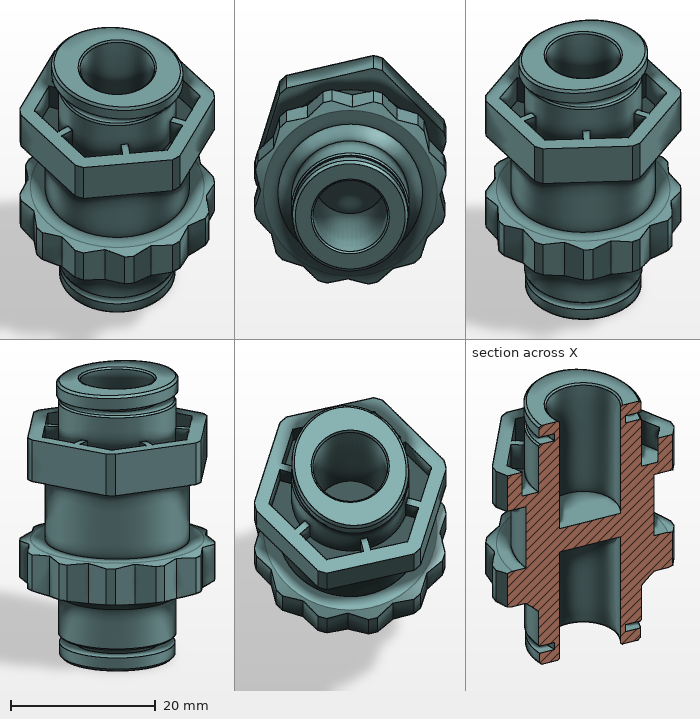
import cadquery as cq
import math


TOTAL_HEIGHT = 40.0

COLLET_FLANGE_HEIGHT = 2.0
COLLET_NECK_DIAMETER = 11.7
COLLET_GAP = 1.1
TOP_FLANGE_LENGTH_X = 18.5
FLANGE_DIAMETER = 16.0
TOP_FLANGE_CHAMFER = 0.35
BOTTOM_FLANGE_CHAMFER = 0.4

BORE_DIAMETER = 10.3
BORE_DEPTH = 18.0
BORE_CHAMFER = 0.25

SLEEVE_DIAMETER = 16.3
SLEEVE_CHAMFER = 0.25
BARREL_DIAMETER = 20.0
BARREL_CONE_BOTTOM = 9.0

ACROSS_FLATS = 24.0
CORNER_DIAMETER = 27.0

HEAD_BOTTOM = 27.0
HEAD_HEIGHT = 6.0
POCKET_ACROSS_FLATS = 20.0
POCKET_DEPTH = 4.0
RIB_THICKNESS = 1.0
RIB_COUNT = 6

NUT_BOTTOM = 10.85
NUT_HEIGHT = 6.0
NUT_BEVEL_ANGLE = 15.0

HEAD_TOP = HEAD_BOTTOM + HEAD_HEIGHT
POCKET_FLOOR = HEAD_TOP - POCKET_DEPTH
SLEEVE_BOTTOM = COLLET_FLANGE_HEIGHT + COLLET_GAP
SLEEVE_TOP = TOTAL_HEIGHT - SLEEVE_BOTTOM
TOP_FLANGE_BOTTOM = TOTAL_HEIGHT - COLLET_FLANGE_HEIGHT
BARREL_CONE_TOP = BARREL_CONE_BOTTOM + (BARREL_DIAMETER - SLEEVE_DIAMETER) / 2


def cylinder(diameter, bottom, top):
    return cq.Workplane("XY").workplane(offset=bottom).circle(diameter / 2).extrude(top - bottom)


def hexagon(across_flats, bottom, top, turn):
    """Hexagonal prism with corners on the X axis, turned about Z by an angle in degrees."""
    across_corners = across_flats / math.cos(math.radians(30))
    prism = cq.Workplane("XY").workplane(offset=bottom).polygon(6, across_corners).extrude(top - bottom)
    return prism.rotate((0, 0, 0), (0, 0, 1), turn)


def make_body():
    """Stepped round body: a slim sleeve with a wider barrel that tapers in at its lower end."""
    sleeve = cylinder(SLEEVE_DIAMETER, SLEEVE_BOTTOM, SLEEVE_TOP).faces("<Z or >Z").chamfer(SLEEVE_CHAMFER)
    barrel = cylinder(BARREL_DIAMETER, BARREL_CONE_BOTTOM, POCKET_FLOOR)
    barrel = barrel.faces("<Z").chamfer(BARREL_CONE_TOP - BARREL_CONE_BOTTOM)
    return sleeve.union(barrel)


def make_head():
    """Hex head with a hexagonal pocket around the sleeve, bridged by radial ribs."""
    head = hexagon(ACROSS_FLATS, HEAD_BOTTOM, HEAD_TOP, 90)
    head = head.intersect(cylinder(CORNER_DIAMETER, HEAD_BOTTOM, HEAD_TOP))
    head = head.cut(hexagon(POCKET_ACROSS_FLATS, POCKET_FLOOR, HEAD_TOP, 90))
    rib_length = (POCKET_ACROSS_FLATS + ACROSS_FLATS) / 4
    for index in range(RIB_COUNT):
        rib = cq.Workplane("XY").workplane(offset=POCKET_FLOOR)
        rib = rib.center(rib_length / 2, 0).rect(rib_length, RIB_THICKNESS).extrude(POCKET_DEPTH)
        head = head.union(rib.rotate((0, 0, 0), (0, 0, 1), index * 360 / RIB_COUNT))
    return head


def make_nut():
    """Twelve-pointed nut made of two crossed hexagons, with its points bevelled at both faces."""
    nut_top = NUT_BOTTOM + NUT_HEIGHT
    star = hexagon(ACROSS_FLATS, NUT_BOTTOM, nut_top, 0)
    star = star.union(hexagon(ACROSS_FLATS, NUT_BOTTOM, nut_top, 90))
    bevel_width = (CORNER_DIAMETER - ACROSS_FLATS) / 2
    bevel_height = bevel_width * math.tan(math.radians(NUT_BEVEL_ANGLE))
    envelope = (
        cylinder(CORNER_DIAMETER, NUT_BOTTOM, nut_top)
        .faces(">Z").chamfer(bevel_height, bevel_width)
        .faces("<Z").chamfer(bevel_height, bevel_width)
    )
    return star.intersect(envelope)


def make_collets():
    """Collet necks with an oval flange at the top and a round flange at the bottom."""
    neck = cylinder(COLLET_NECK_DIAMETER, 0, TOTAL_HEIGHT)
    bottom_flange = cylinder(FLANGE_DIAMETER, 0, COLLET_FLANGE_HEIGHT)
    bottom_flange = bottom_flange.faces("<Z").chamfer(BOTTOM_FLANGE_CHAMFER)
    top_flange = (
        cq.Workplane("XY").workplane(offset=TOP_FLANGE_BOTTOM)
        .ellipse(TOP_FLANGE_LENGTH_X / 2, FLANGE_DIAMETER / 2)
        .extrude(COLLET_FLANGE_HEIGHT)
        .faces(">Z").chamfer(TOP_FLANGE_CHAMFER)
    )
    return neck.union(bottom_flange).union(top_flange)


def make_bores():
    """Blind tube bores from both ends, widened by a chamfer at the mouth."""
    mouth_diameter = BORE_DIAMETER + 2 * BORE_CHAMFER
    mouth = cq.Workplane("XY").circle(mouth_diameter / 2).extrude(BORE_CHAMFER, taper=45)
    bottom_bore = cylinder(BORE_DIAMETER, 0, BORE_DEPTH).union(mouth)
    top_bore = bottom_bore.mirror("XY", (0, 0, TOTAL_HEIGHT / 2))
    return bottom_bore.union(top_bore)


result = make_body().union(make_head()).union(make_nut()).union(make_collets()).cut(make_bores())